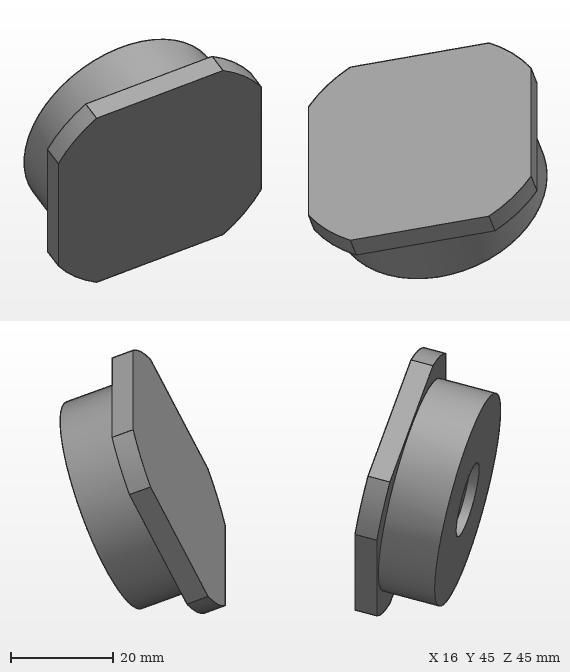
import cadquery as cq

total_length = 16.0
flange_thickness = 4.5
flange_width = 45.0
corner_diameter = 53.0

drum_length = total_length - flange_thickness
drum_diameter = 43.0
recess_diameter = 15.0
recess_depth = 2.0


def disc(diameter, length, start_x):
    """Cylinder along +X, starting at start_x."""
    return cq.Workplane("YZ", origin=(start_x, 0, 0)).circle(diameter / 2).extrude(length)


drum = disc(drum_diameter, drum_length, 0)
flange_square = (
    cq.Workplane("YZ", origin=(drum_length, 0, 0))
    .rect(flange_width, flange_width)
    .extrude(flange_thickness)
)
flange = flange_square.intersect(disc(corner_diameter, flange_thickness, drum_length))
recess = disc(recess_diameter, recess_depth, 0)

result = drum.union(flange).cut(recess)